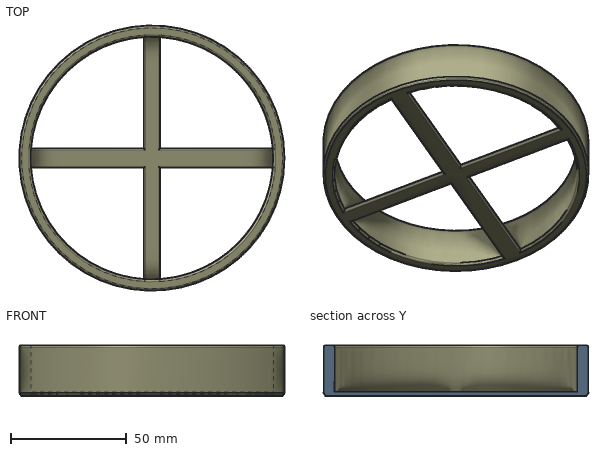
import cadquery as cq

outer_diameter = 114.5
inner_diameter = 104.5
height = 22.0
rim_radius = 1.0

bevel_height = 1.4
bevel_break_height = 0.7
bevel_break_inset = 0.3
bevel_inset = 0.9

x_bar_width = 8.5
y_bar_width = 7.1
bar_thickness = 2.0
bar_edge_radius = 0.7

outer_radius = outer_diameter / 2
inner_radius = inner_diameter / 2
bar_length = outer_radius + inner_radius


def make_ring():
    """Open ring with rounded rims and a two-step bevel at the outer bottom edge."""
    profile = (
        cq.Workplane("XZ")
        .moveTo(inner_radius, 0)
        .lineTo(outer_radius - bevel_inset, 0)
        .lineTo(outer_radius - bevel_break_inset, bevel_break_height)
        .lineTo(outer_radius, bevel_height)
        .lineTo(outer_radius, height)
        .lineTo(inner_radius, height)
        .close()
    )
    ring = profile.revolve(360, (0, 0, 0), (0, 1, 0))
    ring = ring.faces(">Z").edges().fillet(rim_radius)
    inner_bottom_edge = cq.selectors.RadiusNthSelector(0)
    return ring.faces("<Z").edges(inner_bottom_edge).fillet(rim_radius)


def make_bar(size_x, size_y):
    """Flat bar resting on the bottom plane, centred on the ring axis."""
    return cq.Workplane("XY").box(size_x, size_y, bar_thickness, centered=(True, True, False))


def make_cross():
    """Two crossing bars with rounded upper and lower edges."""
    cross = make_bar(bar_length, x_bar_width).union(make_bar(y_bar_width, bar_length))
    return cross.faces("<Z or >Z").edges().fillet(bar_edge_radius)


result = make_ring().union(make_cross())